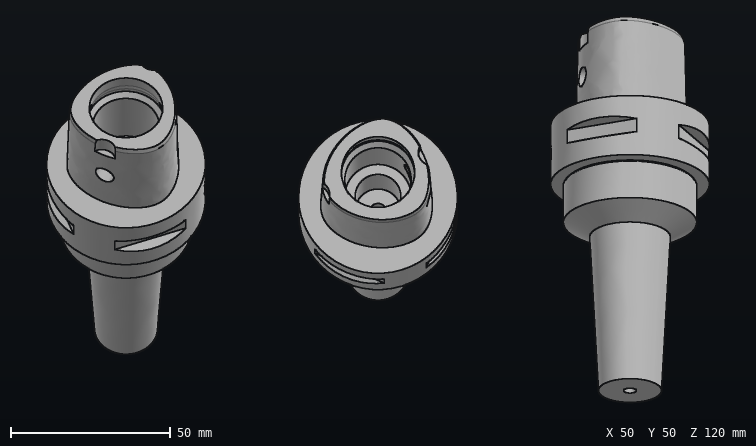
import cadquery as cq
import math

total_height = 120.0
shank_height = 30.0
flange_height = 20.0
flange_top = total_height - shank_height
flange_bottom = flange_top - flange_height
relief_height = 0.5
body_top = flange_bottom - relief_height
cone_top = 57.0
cone_bottom = 52.1

flange_radius = 25.0
body_radius = 21.0
relief_radius = 20.5
nose_top_radius = 12.7
nose_tip_radius = 10.0

lobe_mean_radius = 17.58
lobe_offset = 1.02
taper_per_length = 0.025
rim_chamfer_height = 1.5
rim_chamfer_width = 0.5
profile_points = 72

entry_radius = 11.5
entry_depth = 4.1
groove_radius = 12.2
groove_start_depth = 6.7
groove_end_depth = 8.3
bore_radius = 10.5
bore_start_depth = 9.6
bore_end_depth = shank_height
screw_radius = 7.2
screw_end_depth = 48.0
clearance_radius = 2.5
clearance_end_depth = 72.0
tool_radius = 2.0

notch_radius = 4.38
notch_depth = 5.5
front_notch_y = -18.2
back_notch_y = 20.9
cross_hole_radius = 3.1
cross_hole_depth = 15.8

slot_count = 4
slot_floor_distance = 22.0
slot_middle_height = 80.0
slot_floor_height = 4.5
slot_flare = 0.36


def lobed_point(angle, mean_radius):
    """Point on the curve whose support function is mean_radius + lobe_offset * cos(3 * angle)."""
    lobe_x = lobe_offset * (2 * math.cos(2 * angle) - math.cos(4 * angle))
    lobe_y = -lobe_offset * (2 * math.sin(2 * angle) + math.sin(4 * angle))
    along = mean_radius * math.cos(angle) + lobe_x
    across = mean_radius * math.sin(angle) + lobe_y
    return (-across, along)


def lobed_wire(mean_radius, height):
    angles = [2 * math.pi * i / profile_points for i in range(profile_points)]
    points = [cq.Vector(*lobed_point(angle, mean_radius), height) for angle in angles]
    edge = cq.Edge.makeSpline(points, periodic=True)
    return cq.Wire.assembleEdges([edge])


def lobed_loft(lower_radius, lower_height, upper_radius, upper_height):
    wires = [lobed_wire(lower_radius, lower_height), lobed_wire(upper_radius, upper_height)]
    return cq.Workplane(cq.Solid.makeLoft(wires, True))


def revolve_profile(points):
    return cq.Workplane("XZ").polyline(points).close().revolve(360, (0, 0, 0), (0, 1, 0))


def make_shank():
    chamfer_base = total_height - rim_chamfer_height
    upper_radius = lobe_mean_radius - taper_per_length * (chamfer_base - flange_top)
    taper = lobed_loft(lobe_mean_radius, flange_top, upper_radius, chamfer_base)
    rim = lobed_loft(upper_radius, chamfer_base, upper_radius - rim_chamfer_width, total_height)
    return taper.union(rim)


def make_holder_body():
    return revolve_profile([
        (0, 0),
        (nose_tip_radius, 0),
        (nose_top_radius, cone_bottom),
        (body_radius, cone_top),
        (body_radius, body_top),
        (relief_radius, body_top),
        (relief_radius, flange_bottom),
        (flange_radius, flange_bottom),
        (flange_radius, flange_top),
        (0, flange_top),
    ])


def make_bore():
    steps = [
        (entry_radius, 0),
        (entry_radius, entry_depth),
        (groove_radius, groove_start_depth),
        (groove_radius, groove_end_depth),
        (bore_radius, bore_start_depth),
        (bore_radius, bore_end_depth),
        (screw_radius, bore_end_depth),
        (screw_radius, screw_end_depth),
        (clearance_radius, screw_end_depth),
        (clearance_radius, clearance_end_depth),
        (tool_radius, clearance_end_depth),
        (tool_radius, total_height),
    ]
    outline = [(radius, total_height - depth) for radius, depth in steps]
    return revolve_profile([(0, total_height)] + outline + [(0, 0)])


def make_notches():
    centers = [(0, front_notch_y), (0, back_notch_y)]
    floor = cq.Workplane("XY").workplane(offset=total_height - notch_depth)
    return floor.pushPoints(centers).circle(notch_radius).extrude(notch_depth)


def make_cross_hole():
    plane = cq.Workplane("XZ").center(0, total_height - cross_hole_depth)
    return plane.circle(cross_hole_radius).extrude(flange_radius)


def make_gripper_slot(angle):
    outer_distance = flange_radius + 1.2
    floor_half = slot_floor_height / 2
    outer_half = floor_half + slot_flare * (outer_distance - slot_floor_distance)
    section = cq.Workplane("XZ").polyline([
        (slot_floor_distance, slot_middle_height - floor_half),
        (outer_distance, slot_middle_height - outer_half),
        (outer_distance, slot_middle_height + outer_half),
        (slot_floor_distance, slot_middle_height + floor_half),
    ]).close()
    slot = section.extrude(flange_radius, both=True)
    return slot.rotate((0, 0, 0), (0, 0, 1), angle)


result = make_holder_body().union(make_shank())
result = result.cut(make_bore()).cut(make_notches()).cut(make_cross_hole())

slot_spacing = 360 / slot_count
for slot_index in range(slot_count):
    result = result.cut(make_gripper_slot((slot_index + 0.5) * slot_spacing))